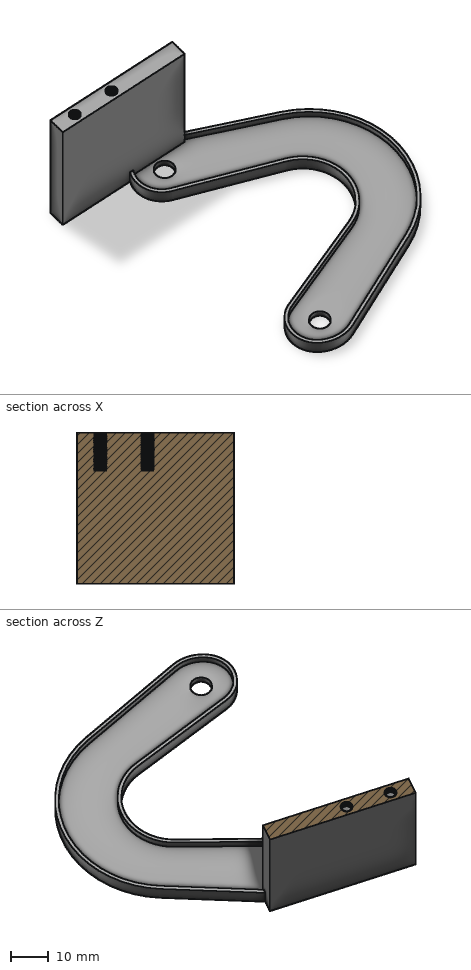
import cadquery as cq
import math

tray_height = 4.0
floor_thickness = 2.0
rim_width = 1.0
arch_outer_radius = 29.4
arch_outer_y = 22.9
arch_inner_radius = 13.95
arch_inner_y = 20.7

side_radius = 11.0
side_x = 30.5
side_y = 0.25
tip_radius = 8.65
tip_turn = math.radians(-31)

pin_hole_diameter = 5.8
pin_hole_spacing = 65.0

plate_thickness = 5.2
plate_length = 41.6
plate_height = 40.0
plate_back_y = 9.9
plate_outer_x = -(side_x + side_radius)
plate_front_y = plate_back_y - plate_length

screw_hole_spacing = 12.5
screw_hole_first = 6.2
thread_major_diameter = 3.3
thread_minor_diameter = 2.7
thread_pitch = 0.5
thread_turns = 20


def polar(center, radius, angle):
    """Point on a circle at the given angle."""
    return (center[0] + radius * math.cos(angle), center[1] + radius * math.sin(angle))


def tangent_angle(start, end, offset):
    """Direction of the radius to a line tangent to two circles with these centers.

    The offset is the difference of the radii for an outer tangent and their sum for a crossing one.
    """
    dx = end[0] - start[0]
    dy = end[1] - start[1]
    return math.atan2(dy, dx) + math.acos(offset / math.hypot(dx, dy))


def tray_outline():
    """Closed outline: arch and arms, with straight lines tangent to the arcs they join."""
    outer = (0, arch_outer_y)
    inner = (0, arch_inner_y)
    side = (side_x, side_y)
    tip = polar(side, side_radius - tip_radius, tip_turn)

    outer_angle = tangent_angle(outer, side, arch_outer_radius - side_radius)
    inner_angle = tangent_angle(inner, tip, arch_inner_radius + tip_radius)
    tip_end_angle = inner_angle - math.pi

    outer_end = polar(outer, arch_outer_radius, outer_angle)
    side_start = polar(side, side_radius, outer_angle)
    side_middle = polar(side, side_radius, (outer_angle + tip_turn) / 2)
    tip_start = polar(side, side_radius, tip_turn)
    tip_middle = polar(tip, tip_radius, (tip_turn + tip_end_angle) / 2)
    tip_end = polar(tip, tip_radius, tip_end_angle)
    inner_start = polar(inner, arch_inner_radius, inner_angle)

    def mirrored(point):
        return (-point[0], point[1])

    return (
        cq.Workplane("XY")
        .moveTo(*mirrored(outer_end))
        .threePointArc((0, arch_outer_y + arch_outer_radius), outer_end)
        .lineTo(*side_start)
        .threePointArc(side_middle, tip_start)
        .threePointArc(tip_middle, tip_end)
        .lineTo(*inner_start)
        .threePointArc((0, arch_inner_y + arch_inner_radius), mirrored(inner_start))
        .lineTo(*mirrored(tip_end))
        .threePointArc(mirrored(tip_middle), mirrored(tip_start))
        .threePointArc(mirrored(side_middle), mirrored(side_start))
        .close()
    )


def make_tray():
    """Shallow tray with a raised rim all round its outline."""
    body = tray_outline().extrude(tray_height)
    recess = (
        tray_outline()
        .offset2D(-rim_width)
        .extrude(tray_height - floor_thickness)
        .translate((0, 0, floor_thickness))
    )
    return body.cut(recess)


def make_plate():
    """Upright plate standing on the same base level as the tray."""
    return cq.Workplane("XY").box(
        plate_thickness, plate_length, plate_height, centered=False
    ).translate((plate_outer_x, plate_front_y, 0))


def make_pin_holes():
    """Through holes, one in each arm end."""
    return (
        cq.Workplane("XY")
        .pushPoints([(-pin_hole_spacing / 2, 0), (pin_hole_spacing / 2, 0)])
        .circle(pin_hole_diameter / 2)
        .extrude(tray_height)
    )


def make_screw_hole(x, y):
    """Blind hole whose thread is a stack of V grooves, widest at the mouth."""
    major_radius = thread_major_diameter / 2
    minor_radius = thread_minor_diameter / 2
    profile = [(0, 0), (major_radius, 0)]
    for turn in range(thread_turns):
        depth = turn * thread_pitch
        profile.append((minor_radius, -depth - thread_pitch / 2))
        profile.append((major_radius, -depth - thread_pitch))
    profile.append((0, -thread_turns * thread_pitch))
    cutter = cq.Workplane("XZ").polyline(profile).close().revolve(360, (0, 0), (0, 1))
    return cutter.translate((x, y, plate_height))


def make_screw_holes():
    """Two threaded holes, centered across the plate thickness."""
    x = plate_outer_x + plate_thickness / 2
    first_y = plate_front_y + screw_hole_first
    second_y = first_y + screw_hole_spacing
    return make_screw_hole(x, first_y).union(make_screw_hole(x, second_y))


result = (
    make_tray()
    .union(make_plate())
    .cut(make_pin_holes())
    .cut(make_screw_holes())
)